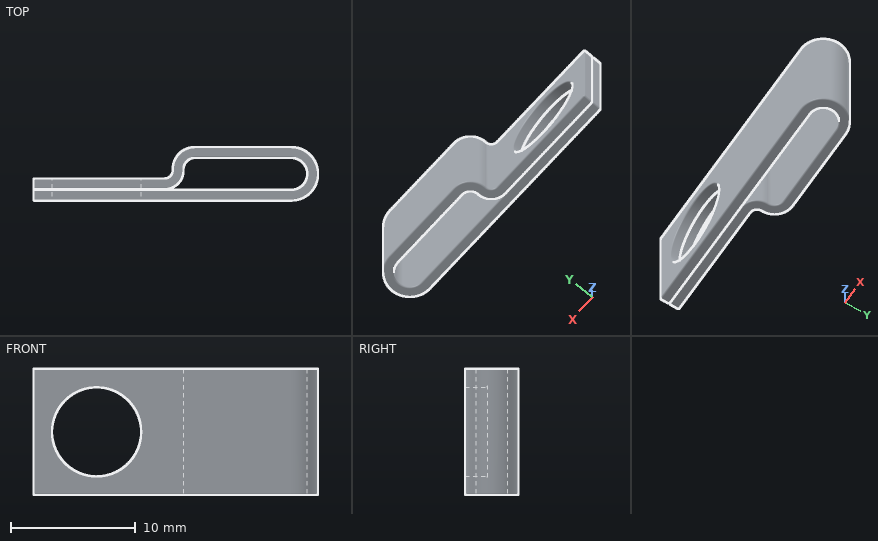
import cadquery as cq
import math


length = 22.86
depth = 4.318
width = 10.16

thickness = 0.889
leg_gap = 0.0254
edge_radius = 0.127

loop_outer_radius = depth / 2
loop_inner_radius = loop_outer_radius - thickness
shoulder_inner_radius = 0.889
shoulder_outer_radius = shoulder_inner_radius + thickness
heel_inner_radius = 0.635
heel_outer_radius = heel_inner_radius + thickness
step_x = 11.176

hole_diameter = 7.1374
hole_x = 5.08

back_leg_inner_y = thickness + leg_gap
back_leg_outer_y = back_leg_inner_y + thickness
heel_center = (step_x - heel_inner_radius, back_leg_outer_y + heel_inner_radius)
shoulder_center = (step_x + shoulder_outer_radius, depth - shoulder_outer_radius)
loop_center = (length - loop_outer_radius, loop_outer_radius)


def on_circle(center, radius, degrees):
    """Point on a circle at the given angle from +X."""
    angle = math.radians(degrees)
    return (center[0] + radius * math.cos(angle), center[1] + radius * math.sin(angle))


def add_arc(path, center, radius, start, end):
    """Continue the path along an arc that begins at the start angle."""
    middle = on_circle(center, radius, (start + end) / 2)
    return path.threePointArc(middle, on_circle(center, radius, end))


def make_strip():
    """Folded strip, extruded across its width."""
    path = cq.Workplane("XY").moveTo(0, 0)

    path = path.lineTo(loop_center[0], 0)
    path = add_arc(path, loop_center, loop_outer_radius, -90, 90)
    path = path.lineTo(shoulder_center[0], depth)
    path = add_arc(path, shoulder_center, shoulder_outer_radius, 90, 180)
    path = path.lineTo(step_x, heel_center[1])
    path = add_arc(path, heel_center, heel_inner_radius, 0, -90)
    path = path.lineTo(0, back_leg_outer_y)

    path = path.lineTo(0, back_leg_inner_y)
    path = path.lineTo(heel_center[0], back_leg_inner_y)
    path = add_arc(path, heel_center, heel_outer_radius, -90, 0)
    path = path.lineTo(step_x + thickness, shoulder_center[1])
    path = add_arc(path, shoulder_center, shoulder_inner_radius, 180, 90)
    path = path.lineTo(loop_center[0], depth - thickness)
    path = add_arc(path, loop_center, loop_inner_radius, 90, -90)
    path = path.lineTo(0, thickness)
    return path.close().extrude(width)


def round_strip_edges(strip):
    """Round both long sides and the two free ends of the strip."""
    return strip.faces("<Z or >Z or <X").edges().fillet(edge_radius)


def make_hole_cutter():
    """Through hole with a rounded rim on the outer face of each leg."""
    radius = hole_diameter / 2
    rim_radius = radius + edge_radius
    front_rim_center = (rim_radius, edge_radius)
    back_rim_center = (rim_radius, back_leg_outer_y - edge_radius)

    section = cq.Workplane("XY").lineTo(rim_radius, 0)
    section = add_arc(section, front_rim_center, edge_radius, 270, 180)
    section = section.lineTo(radius, back_rim_center[1])
    section = add_arc(section, back_rim_center, edge_radius, 180, 90)
    section = section.lineTo(0, back_leg_outer_y).close()
    cutter = section.revolve(360, (0, 0), (0, 1))
    return cutter.translate((hole_x, 0, width / 2))


result = round_strip_edges(make_strip()).cut(make_hole_cutter())